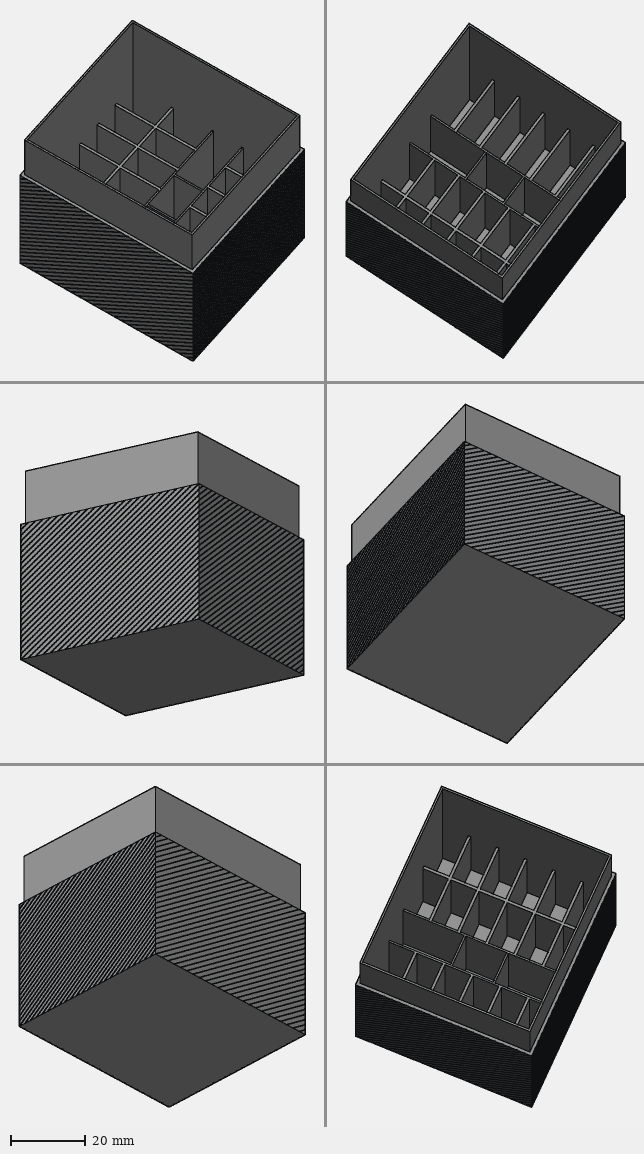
import cadquery as cq
import math

length_x = 57.4
width_y = 51.85
height = 54.35
sleeve_height = 39.0
ledge = 0.9
collar_wall = 0.6
floor_thickness = 1.5

divider_top = 26.5
thick_divider = 0.8
thin_divider = 0.5
left_column_width = 12.75
middle_column_width = 9.3
row_count = 6
middle_box_length = 12.0

groove_divisions = 24
groove_width = 0.125
groove_depth = 0.1

side_wall = ledge + collar_wall
inner_x = length_x - 2 * side_wall
inner_y = width_y - 2 * side_wall
inner_left = -inner_x / 2
inner_front = -inner_y / 2


def block(x_start, x_size, y_start, y_size, z_start, z_end):
    """Box given by its low corner in X and Y, its sizes and its height range."""
    corner = (x_start, y_start, z_start)
    return cq.Workplane().box(x_size, y_size, z_end - z_start, centered=False).translate(corner)


def make_shell():
    """Hollow box: wide sleeve below, narrower collar above."""
    collar_x = length_x - 2 * ledge
    collar_y = width_y - 2 * ledge
    sleeve = block(-length_x / 2, length_x, -width_y / 2, width_y, 0, sleeve_height)
    collar = block(-collar_x / 2, collar_x, -collar_y / 2, collar_y, 0, height)
    cavity = block(inner_left, inner_x, inner_front, inner_y, floor_thickness, height)
    return sleeve.union(collar).cut(cavity)


def make_compartments():
    """Wells cut down to the floor, as (x, x size, y, y size)."""
    row_length = (inner_y - (row_count - 1) * thick_divider) / row_count
    end_box_length = (inner_y - middle_box_length) / 2 - thin_divider
    second_x = inner_left + left_column_width + thick_divider
    middle_x = second_x + left_column_width + thin_divider
    right_x = middle_x + middle_column_width + thin_divider
    right_column_width = inner_x / 2 - right_x

    wells = []
    for row in range(row_count):
        y = inner_front + row * (row_length + thick_divider)
        wells.append((inner_left, left_column_width, y, row_length))
        wells.append((second_x, left_column_width, y, row_length))
        wells.append((right_x, right_column_width, y, row_length))

    y = inner_front
    for box_length in (end_box_length, middle_box_length, end_box_length):
        wells.append((middle_x, middle_column_width, y, box_length))
        y += box_length + thin_divider
    return wells


def make_dividers():
    """Block filling the lower cavity with every well removed, leaving the divider grid."""
    grid = block(inner_left, inner_x, inner_front, inner_y, floor_thickness, divider_top)
    for well in make_compartments():
        grid = grid.cut(block(*well, floor_thickness, divider_top))
    return grid


def face_grooves(face_width, face_offset, turn):
    """Parallel grooves along the diagonal of one sleeve face, turned about Z onto that face."""
    slope = math.degrees(math.atan2(sleeve_height, face_width))
    bar_length = math.hypot(sleeve_height, face_width)
    level_bar = cq.Workplane().box(bar_length, 2 * groove_depth, groove_width)
    bar = level_bar.rotate((0, 0, 0), (0, 1, 0), -slope)
    step_x = face_width / groove_divisions
    step_z = sleeve_height / groove_divisions
    bars = []
    for index in range(-groove_divisions, groove_divisions + 1):
        centre_x = -index * step_x / 2
        centre_z = (sleeve_height + index * step_z) / 2
        place = (centre_x, -face_offset, centre_z)
        bars.append(bar.translate(place).rotate((0, 0, 0), (0, 0, 1), turn).val())
    return bars


def make_grooves():
    """Grooves of all four sleeve faces, rising to the right when each face is seen from outside."""
    bars = []
    for turn in (0, 180):
        bars += face_grooves(length_x, width_y / 2, turn)
    for turn in (90, 270):
        bars += face_grooves(width_y, length_x / 2, turn)
    return bars


shell = make_shell().union(make_dividers()).val()
result = cq.Workplane(shell.cut(*make_grooves()))